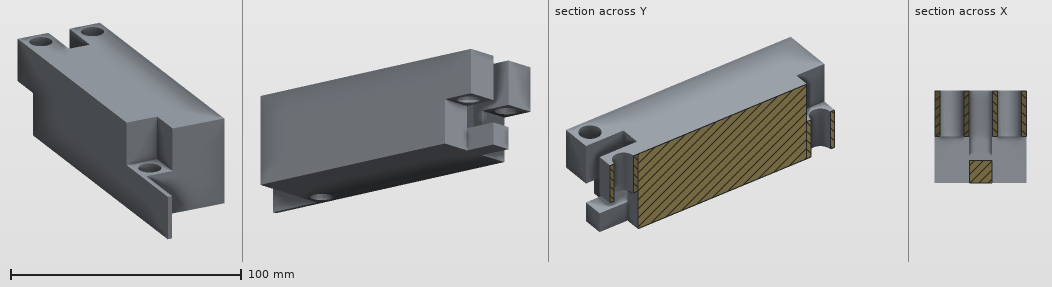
import cadquery as cq

overall_length = 145.0
body_size = 40.0
ear_size = 15.0
hole_diameter = 10.2
plate_reach = 25.0
plate_thickness = 2.0
slot_depth = 5.1
tongue_height = 10.0

housing_end = overall_length - plate_reach
ear_height = body_size / 2
slot_width = body_size - 2 * ear_size
notch_start = housing_end - ear_size
rear_ear_y = body_size - ear_size


def block(x, y, z, length, width, height):
    """Box with its lowest corner at (x, y, z)."""
    return cq.Workplane("XY").box(length, width, height, centered=False).translate((x, y, z))


def make_ear(x, y, z):
    """Square ear with a vertical through hole in its centre."""
    ear = block(x, y, z, ear_size, ear_size, ear_height)
    return ear.faces(">Z").workplane(centerOption="CenterOfMass").hole(hole_diameter)


def make_housing():
    """Long block with a corner notch, an end slot and a tongue below the slot."""
    housing = block(ear_size, 0, 0, housing_end - ear_size, body_size, body_size)
    notch = block(notch_start, 0, 0, ear_size, ear_size, body_size)
    slot = block(
        ear_size, ear_size, tongue_height,
        slot_depth, slot_width, body_size - tongue_height,
    )
    tongue = block(0, ear_size, 0, ear_size, slot_width, tongue_height)
    return housing.cut(notch).cut(slot).union(tongue)


def make_plate_ear():
    """Ear that fills the lower half of the notch and carries the end plate."""
    plate = block(housing_end, 0, 0, plate_reach, plate_thickness, ear_height)
    return make_ear(notch_start, 0, 0).union(plate)


housing = make_housing()
end_ears = [make_ear(0, y, body_size - ear_height) for y in (0, rear_ear_y)]
plate_ear = make_plate_ear()

result = cq.Compound.makeCompound(
    [housing.val(), *[ear.val() for ear in end_ears], plate_ear.val()]
)